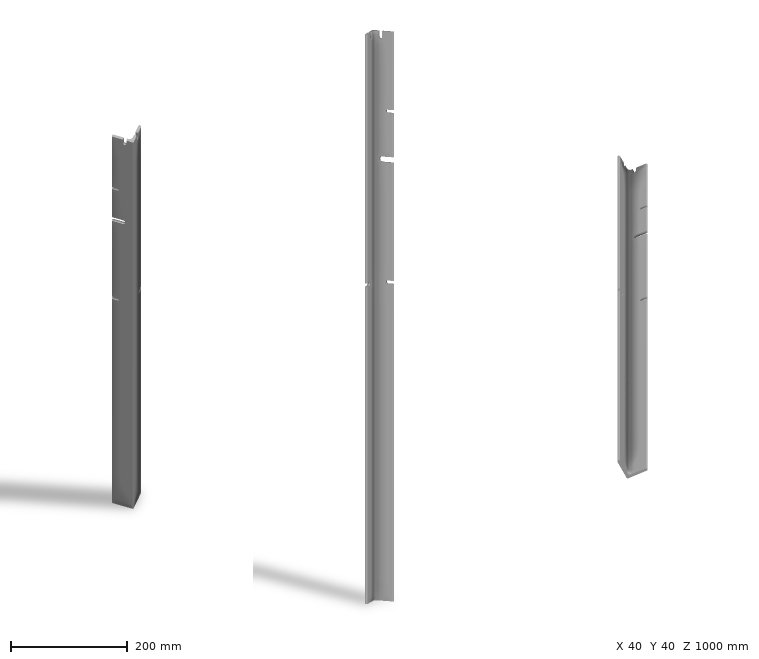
import cadquery as cq

leg_width = 40.0
thickness = 5.0
length = 1000.0
root_radius = 6.0
heel_radius = 2.0
toe_radius = 2.0

end_slot_width = 6.0
end_slot_depth = 13.0
front_end_slot_x = 24.0
side_end_slot_y = 20.0

notch_width = 6.0
notch_depth = 14.0
upper_notch_z = 860.0
lower_notch_z = 560.0

wide_notch_width = 10.0
wide_notch_depth = 26.0
wide_notch_z = 775.0

inner_x = leg_width - thickness


def edge_at(x, y):
    """Selector for the lengthwise edge passing through (x, y)."""
    margin = 0.1
    low = (x - margin, y - margin, length / 2 - margin)
    high = (x + margin, y + margin, length / 2 + margin)
    return cq.selectors.BoxSelector(low, high)


def angle_bar():
    """Plain L-section bar with rounded root, heel and toes."""
    bar = (
        cq.Workplane("XY")
        .polyline([
            (0, 0),
            (leg_width, 0),
            (leg_width, leg_width),
            (inner_x, leg_width),
            (inner_x, thickness),
            (0, thickness),
        ])
        .close()
        .extrude(length)
    )
    bar = bar.edges(edge_at(inner_x, thickness)).fillet(root_radius)
    bar = bar.edges(edge_at(leg_width, 0)).fillet(heel_radius)
    for x, y in ((0, 0), (0, thickness), (inner_x, leg_width), (leg_width, leg_width)):
        bar = bar.edges(edge_at(x, y)).fillet(toe_radius)
    return bar


def slot_cutter(plane, width, depth):
    """Round-ended slot, one leg thick, running from the plane's origin along its x axis."""
    radius = width / 2
    straight = depth - radius
    return (
        cq.Workplane(plane)
        .moveTo(0, -radius)
        .lineTo(straight, -radius)
        .threePointArc((depth, 0), (straight, radius))
        .lineTo(0, radius)
        .close()
        .extrude(thickness)
    )


def front_leg_slot(mouth_x, mouth_z, inward, width, depth):
    """Slot cutter through the front leg, entering at (mouth_x, mouth_z) along inward."""
    plane = cq.Plane(origin=(mouth_x, 0, mouth_z), xDir=inward, normal=(0, 1, 0))
    return slot_cutter(plane, width, depth)


def side_leg_slot(mouth_y, mouth_z, inward, width, depth):
    """Slot cutter through the side leg, entering at (mouth_y, mouth_z) along inward."""
    plane = cq.Plane(origin=(inner_x, mouth_y, mouth_z), xDir=inward, normal=(1, 0, 0))
    return slot_cutter(plane, width, depth)


down = (0, 0, -1)
from_front_tip = (1, 0, 0)
from_side_tip = (0, -1, 0)

cutters = [
    front_leg_slot(front_end_slot_x, length, down, end_slot_width, end_slot_depth),
    side_leg_slot(side_end_slot_y, length, down, end_slot_width, end_slot_depth),
    front_leg_slot(0, upper_notch_z, from_front_tip, notch_width, notch_depth),
    front_leg_slot(0, lower_notch_z, from_front_tip, notch_width, notch_depth),
    side_leg_slot(leg_width, lower_notch_z, from_side_tip, notch_width, notch_depth),
    front_leg_slot(0, wide_notch_z, from_front_tip, wide_notch_width, wide_notch_depth),
]

result = angle_bar()
for cutter in cutters:
    result = result.cut(cutter)